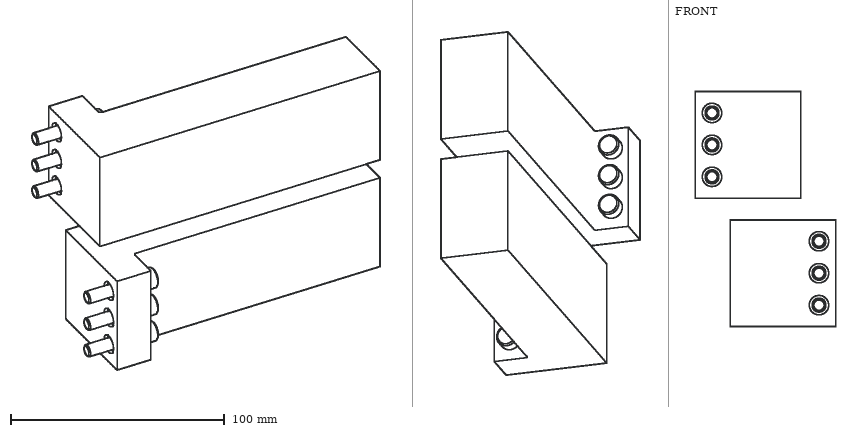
import cadquery as cq

BLOCK_LENGTH = 150.0
BAR_WIDTH = 33.0
FLANGE_THICKNESS = 18.1
CORNER_RADIUS = 1.0

TOTAL_WIDTH = 66.0
TOTAL_HEIGHT = 110.0
BLOCK_GAP = 10.0
BLOCK_HEIGHT = (TOTAL_HEIGHT - BLOCK_GAP) / 2
FLANGE_OVERHANG = (TOTAL_WIDTH - BAR_WIDTH) / 2
BLOCK_WIDTH = FLANGE_OVERHANG + BAR_WIDTH
UPPER_BASE_Z = BLOCK_HEIGHT + BLOCK_GAP

SHANK_DIAMETER = 6.0
SHANK_PROTRUSION = 12.0
SHANK_LENGTH = FLANGE_THICKNESS + SHANK_PROTRUSION
TIP_CHAMFER = 0.57
HEAD_DIAMETER = 10.0
HEAD_HEIGHT = 6.0
HEAD_CHAMFER = 0.73

HOLE_DIAMETER = 6.5
COUNTERBORE_DIAMETER = 9.0
COUNTERBORE_DEPTH = 2.0
SCREW_COUNT = 3
SCREW_EDGE_DISTANCE = 8.0
SCREW_END_DISTANCE = 10.0
SCREW_PITCH = (BLOCK_HEIGHT - 2 * SCREW_END_DISTANCE) / (SCREW_COUNT - 1)
SCREW_HEIGHTS = [SCREW_END_DISTANCE + i * SCREW_PITCH for i in range(SCREW_COUNT)]


def make_block():
    """Block with its flange toward -X, front face on Y = 0 and bottom on Z = 0."""
    outline = [
        (0, 0),
        (BLOCK_WIDTH, 0),
        (BLOCK_WIDTH, BLOCK_LENGTH),
        (FLANGE_OVERHANG, BLOCK_LENGTH),
        (FLANGE_OVERHANG, FLANGE_THICKNESS),
        (0, FLANGE_THICKNESS),
    ]
    block = cq.Workplane("XY").polyline(outline).close().extrude(BLOCK_HEIGHT)
    inner_corner = cq.NearestToPointSelector((FLANGE_OVERHANG, FLANGE_THICKNESS, BLOCK_HEIGHT / 2))
    block = block.edges("|Z").edges(inner_corner).fillet(CORNER_RADIUS)
    hole_centers = [(SCREW_EDGE_DISTANCE, z) for z in SCREW_HEIGHTS]
    return (
        block.faces("<Y")
        .workplane(origin=(0, 0, 0))
        .pushPoints(hole_centers)
        .cboreHole(HOLE_DIAMETER, COUNTERBORE_DIAMETER, COUNTERBORE_DEPTH, depth=FLANGE_THICKNESS)
    )


def make_screw(z):
    """Cap screw along Y, its head resting on the back of the flange."""
    under_head = cq.Workplane("XZ", origin=(SCREW_EDGE_DISTANCE, FLANGE_THICKNESS, z))
    head = under_head.circle(HEAD_DIAMETER / 2).extrude(-HEAD_HEIGHT).faces(">Y").chamfer(HEAD_CHAMFER)
    shank = under_head.circle(SHANK_DIAMETER / 2).extrude(SHANK_LENGTH).faces("<Y").chamfer(TIP_CHAMFER)
    return head.union(shank)


def place_upper(body):
    """Raise the body onto the upper level, with the flange end toward -X."""
    return body.translate((0, 0, UPPER_BASE_Z))


def place_lower(body):
    """Mirror the body so that the flange end lies toward +X."""
    return body.mirror("YZ").translate((TOTAL_WIDTH, 0, 0))


upper_block = place_upper(make_block())
lower_block = place_lower(make_block())

screws = []
for height in SCREW_HEIGHTS:
    screws.append(place_upper(make_screw(height)))
    screws.append(place_lower(make_screw(height)))

result = cq.Compound.makeCompound(
    [upper_block.val(), lower_block.val(), *[screw.val() for screw in screws]]
)